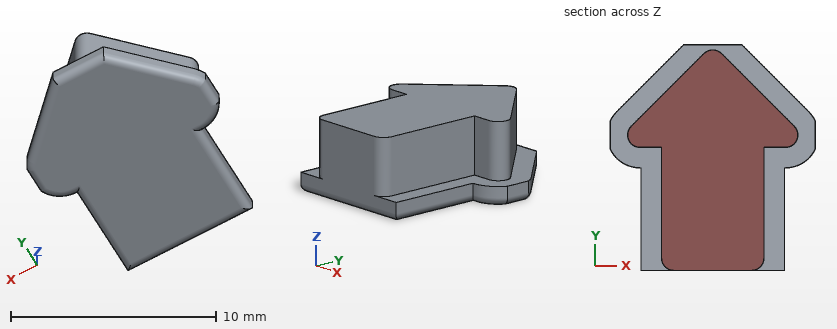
import cadquery as cq

length = 11.0
width = 10.0
height = 4.0

shoulder_y = 6.0
stem_half_width = 2.5
head_half_width = length - shoulder_y
corner_radius = 0.6

tolerance = 0.001

flange_margin = 1.0
flange_thickness = 1.0
flange_bottom_radius = 0.4


def is_outer_corner(edge):
    """True for every upright edge except the two where the stem meets the head."""
    corner = edge.Center()
    on_stem_side = abs(abs(corner.x) - stem_half_width) < tolerance
    on_shoulder = abs(corner.y - shoulder_y) < tolerance
    return not (on_stem_side and on_shoulder)


def arrow_prism(prism_height, tail_y):
    """Arrow with rounded outer corners and sharp corners where stem meets head."""
    outline = [
        (-stem_half_width, tail_y),
        (stem_half_width, tail_y),
        (stem_half_width, shoulder_y),
        (head_half_width, shoulder_y),
        (0, length),
        (-head_half_width, shoulder_y),
        (-stem_half_width, shoulder_y),
    ]
    prism = cq.Workplane("XY").polyline(outline).close().extrude(prism_height)
    return prism.edges("|Z").filter(is_outer_corner).fillet(corner_radius)


def flange():
    """Arrow outline grown by the margin, trimmed to the envelope, with a rounded underside."""
    long_tail_y = -flange_margin
    arrow_outline = arrow_prism(flange_thickness, long_tail_y).faces("<Z").wires().val()
    grown_outline = arrow_outline.offset2D(flange_margin)
    grown = cq.Workplane("XY").newObject(grown_outline).toPending().extrude(flange_thickness)
    envelope = cq.Workplane("XY").box(width, length, flange_thickness, centered=(True, False, False))
    return envelope.intersect(grown).faces("<Z").edges().fillet(flange_bottom_radius)


arrow = arrow_prism(height - flange_thickness, tail_y=0).translate((0, 0, flange_thickness))
result = flange().union(arrow)